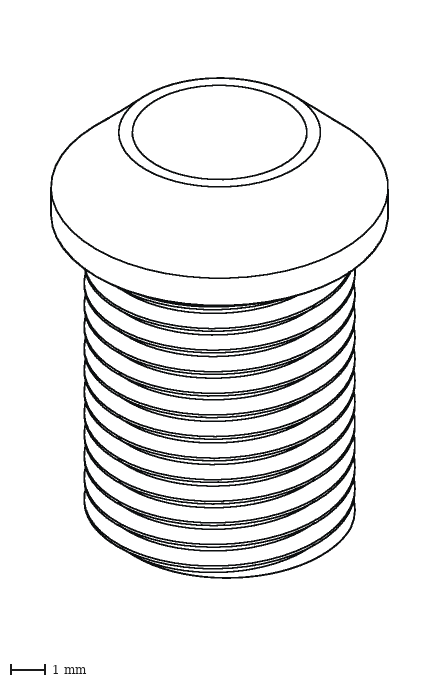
import cadquery as cq
import math

total_height = 13.1
cone_height = 1.9
rim_height = 1.0
neck_height = 0.5
shank_height = total_height - cone_height - rim_height - neck_height

bore_radius = 5.1 / 2
cone_top_radius = 5.9 / 2
rim_radius = 9.85 / 2
neck_radius = 8.25 / 2

rim_chamfer = 0.05

thread_root_radius = 7.05 / 2
thread_crest_radius = 7.91 / 2
ten_pitches = 7.49
pitch = ten_pitches / 10
crest_flat = pitch / 8
flank_half_angle = math.radians(30)
crest_offset = -0.17
root_overlap = 0.05


def make_body():
    """Revolve the core, neck, rim and conical head as one solid."""
    rim_bottom = shank_height + neck_height
    rim_top = rim_bottom + rim_height
    profile = (
        cq.Workplane("XZ")
        .moveTo(0, 0)
        .lineTo(thread_root_radius, 0)
        .lineTo(thread_root_radius, shank_height)
        .lineTo(neck_radius, shank_height)
        .lineTo(neck_radius, rim_bottom)
        .lineTo(rim_radius - rim_chamfer, rim_bottom)
        .lineTo(rim_radius, rim_bottom + rim_chamfer)
        .lineTo(rim_radius, rim_top)
        .lineTo(cone_top_radius, total_height)
        .lineTo(0, total_height)
        .close()
    )
    return profile.revolve(360, (0, 0, 0), (0, 1, 0))


def make_thread():
    """Sweep the ridge past both shank ends, then trim it to the shank."""
    start = crest_offset - pitch
    turns = math.ceil((shank_height - start) / pitch) + 1
    inner_radius = thread_root_radius - root_overlap
    crest_half = crest_flat / 2
    ridge_depth = thread_crest_radius - inner_radius
    base_half = crest_half + ridge_depth * math.tan(flank_half_angle)
    helix = cq.Wire.makeHelix(pitch, turns * pitch, inner_radius, cq.Vector(0, 0, start))
    ridge = (
        cq.Workplane("XZ")
        .moveTo(inner_radius, start - base_half)
        .lineTo(thread_crest_radius, start - crest_half)
        .lineTo(thread_crest_radius, start + crest_half)
        .lineTo(inner_radius, start + base_half)
        .close()
        .sweep(cq.Workplane(helix), isFrenet=True)
    )
    shank_envelope = cq.Workplane("XY").circle(neck_radius).extrude(shank_height)
    return ridge.intersect(shank_envelope)


bore = cq.Workplane("XY").circle(bore_radius).extrude(total_height)

result = make_body().union(make_thread()).cut(bore)